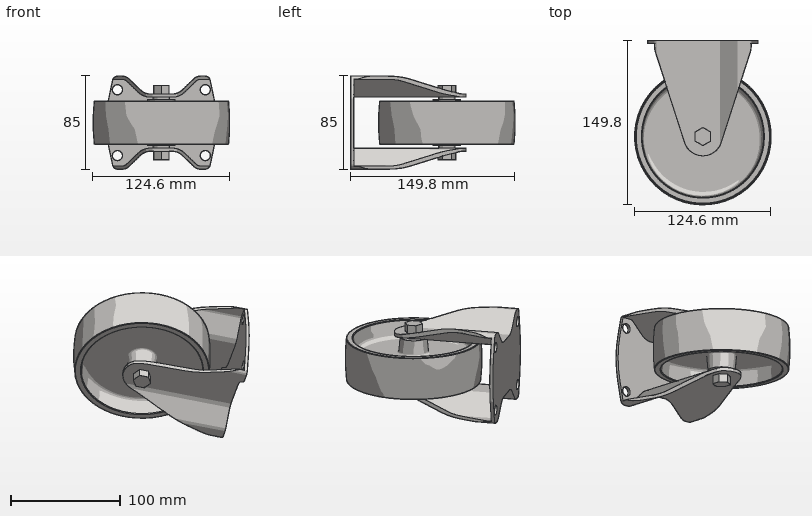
import cadquery as cq
import math

wheel_radius = 62.3
wheel_half_width = 20.0
tread_edge_radius = 61.3
rim_edge_round = 0.6
rim_inner_radius = 56.0
rim_lip = 0.7
cavity_wall_foot_radius = 54.2
web_outer_radius = 50.3
web_outer_half = 3.3
web_inner_half = 5.8
floor_round_height = 3.9
hub_half_width = 21.0
hub_top_radius = 12.5
hub_base_radius = 13.5
hub_flare = 2.1

spacer_diameter = 15.0
bolt_across_flats = 14.2
bolt_half_length = 33.9

overall_length = 149.8
plate_face_y = overall_length - wheel_radius
sheet = 3.0
overall_height = 85.0
half_height = overall_height / 2
plate_half_width = 50.3
side_bow_radius = 104.9
side_slope_angle = math.radians(12)
corner_radius = 5.1
hole_diameter = 9.0
hole_x = 40.0
hole_z = 30.0

bend_angle = math.radians(44)
valley_half_width = 9.9
valley_bend_radius = 13.2
ridge_start_x = 35.8
ridge_bend_radius = 9.1

bend_rise = (valley_bend_radius + ridge_bend_radius) * (1 - math.cos(bend_angle))
slope_run = (
    ridge_start_x - valley_half_width - (valley_bend_radius + ridge_bend_radius) * math.sin(bend_angle)
)
valley_z = half_height - bend_rise - slope_run * math.tan(bend_angle)

leg_half_width = 44.0
leg_tip_radius = 17.5
leg_taper_angle = math.radians(17.9)
leg_shoulder_round = 18.0


def build_wheel():
    """Crowned solid of revolution with a rounded cavity cut into each face."""
    crown_height = wheel_half_width - rim_edge_round
    rim_edge_x = tread_edge_radius - rim_edge_round
    body = (
        cq.Workplane("XZ")
        .moveTo(0, -wheel_half_width)
        .lineTo(rim_edge_x, -wheel_half_width)
        .lineTo(tread_edge_radius, -crown_height)
        .threePointArc((wheel_radius, 0), (tread_edge_radius, crown_height))
        .lineTo(rim_edge_x, wheel_half_width)
        .lineTo(0, wheel_half_width)
        .close()
        .revolve(360, (0, 0, 0), (0, 1, 0))
    )
    cavity = (
        cq.Workplane("XZ")
        .moveTo(rim_inner_radius, wheel_half_width)
        .lineTo(rim_inner_radius - rim_lip, wheel_half_width - rim_lip)
        .lineTo(cavity_wall_foot_radius, web_outer_half + floor_round_height)
        .tangentArcPoint((web_outer_radius, web_outer_half), relative=False)
        .lineTo(hub_base_radius + hub_flare, web_inner_half)
        .tangentArcPoint((hub_base_radius, web_inner_half + hub_flare), relative=False)
        .lineTo(hub_top_radius, wheel_half_width)
        .close()
        .revolve(360, (0, 0, 0), (0, 1, 0))
    )
    hub = cq.Workplane("XY").circle(hub_top_radius).extrude(hub_half_width, both=True)
    return body.cut(cavity).cut(cavity.mirror("XY")).union(hub)


def build_axle():
    """Round spacer between the legs with a hexagon head beyond each leg."""
    hexagon = cq.Workplane("XY").polygon(6, bolt_across_flats, circumscribed=True)
    bolt = hexagon.extrude(bolt_half_length, both=True)
    spacer = cq.Workplane("XY").circle(spacer_diameter / 2).extrude(valley_z - sheet, both=True)
    gap = cq.Workplane("XY").box(spacer_diameter * 2, spacer_diameter * 2, 2 * (valley_z - sheet))
    return bolt.cut(gap).union(spacer)


def bracket_outline(inset):
    """Closed XZ outline of the bracket, moved inwards in the sheet by inset."""
    valley_radius = valley_bend_radius + inset
    ridge_radius = ridge_bend_radius - inset
    valley_centre_z = valley_z + valley_bend_radius
    ridge_centre_z = half_height - ridge_bend_radius

    def valley_point(angle):
        return (
            valley_half_width + valley_radius * math.sin(angle),
            valley_centre_z - valley_radius * math.cos(angle),
        )

    def ridge_point(angle):
        return (
            ridge_start_x - ridge_radius * math.sin(angle),
            ridge_centre_z + ridge_radius * math.cos(angle),
        )

    top_z = half_height - inset
    return (
        cq.Workplane("XZ", origin=(0, plate_face_y, 0))
        .lineTo(0, valley_z - inset)
        .lineTo(*valley_point(0))
        .threePointArc(valley_point(bend_angle / 2), valley_point(bend_angle))
        .lineTo(*ridge_point(bend_angle))
        .threePointArc(ridge_point(bend_angle / 2), ridge_point(0))
        .lineTo(plate_half_width, top_z)
        .lineTo(plate_half_width, 0)
        .close()
    )


def plate_blank(depth):
    """Quarter block with the bowed plate side and its rounded corner."""
    bow_centre_x = plate_half_width - side_bow_radius

    def bow_point(angle):
        return (
            bow_centre_x + side_bow_radius * math.cos(angle),
            side_bow_radius * math.sin(angle),
        )

    bow_end_x, bow_end_z = bow_point(side_slope_angle)
    corner_x = bow_end_x - (half_height - bow_end_z) * math.tan(side_slope_angle)
    return (
        cq.Workplane("XZ", origin=(0, plate_face_y, 0))
        .lineTo(0, half_height)
        .lineTo(corner_x, half_height)
        .lineTo(bow_end_x, bow_end_z)
        .threePointArc(bow_point(side_slope_angle / 2), bow_point(0))
        .close()
        .extrude(depth)
        .edges("|Y")
        .edges(">Z")
        .edges(">X")
        .fillet(corner_radius)
    )


def leg_shape():
    """Tapered leg outline with a round tip about the wheel axis, as a tall block."""
    tangent_x = leg_tip_radius * math.cos(leg_taper_angle)
    tangent_y = -leg_tip_radius * math.sin(leg_taper_angle)
    shoulder_y = tangent_y + (leg_half_width - tangent_x) / math.tan(leg_taper_angle)
    return (
        cq.Workplane("XY")
        .moveTo(-leg_half_width, plate_face_y)
        .lineTo(-leg_half_width, shoulder_y)
        .lineTo(-tangent_x, tangent_y)
        .threePointArc((0, -leg_tip_radius), (tangent_x, tangent_y))
        .lineTo(leg_half_width, shoulder_y)
        .lineTo(leg_half_width, plate_face_y)
        .close()
        .extrude(half_height)
        .edges("|Z")
        .edges(cq.selectors.BoxSelector(
            (-plate_half_width, shoulder_y - sheet, 0),
            (plate_half_width, shoulder_y + sheet, half_height),
        ))
        .fillet(leg_shoulder_round)
    )


def build_bracket():
    """Mounting plate and two pressed legs, built as one quarter and mirrored."""
    leg_length = plate_face_y + leg_tip_radius
    plate = bracket_outline(0).extrude(sheet).intersect(plate_blank(sheet))
    leg = (
        bracket_outline(0).extrude(leg_length)
        .cut(bracket_outline(sheet).extrude(leg_length))
        .intersect(plate_blank(leg_length))
        .intersect(leg_shape())
    )
    hole = (
        cq.Workplane("XZ", origin=(0, plate_face_y, 0))
        .center(hole_x, hole_z)
        .circle(hole_diameter / 2)
        .extrude(sheet)
    )
    quarter = plate.cut(hole).union(leg)
    half = quarter.union(quarter.mirror("YZ"))
    return half.union(half.mirror("XY"))


result = build_wheel().union(build_axle()).union(build_bracket())